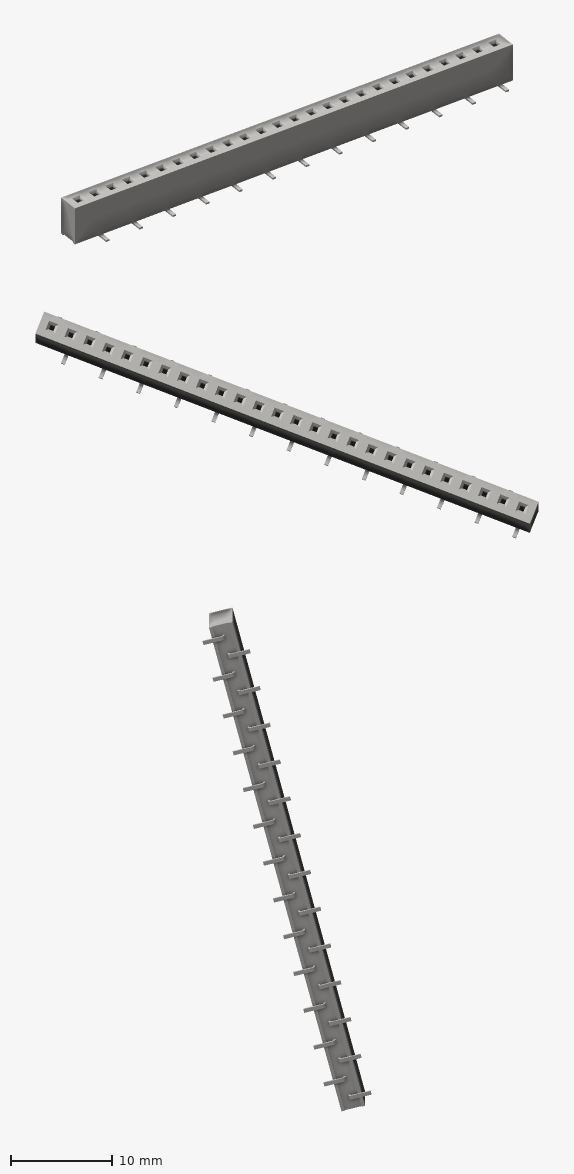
import cadquery as cq
import math

PIN_COUNT = 26
PITCH = 2.0
END_MARGIN = 0.3

BODY_WIDTH = 2.4
BODY_LENGTH = PIN_COUNT * PITCH + 2 * END_MARGIN
TOP_Z = 4.6
BODY_BOTTOM_Z = 0.35

CHANNEL_WIDTH = 1.7
CHANNEL_DEPTH = 0.15
CHANNEL_ROOF_Z = BODY_BOTTOM_Z + CHANNEL_DEPTH

FUNNEL_MOUTH = 1.0
SOCKET_SIDE = 0.5
FUNNEL_DEPTH = (FUNNEL_MOUTH - SOCKET_SIDE) / 2
SOCKET_DEPTH = 3.0

FOOT_REACH = 2.15
FOOT_WIDTH = 0.4
TAIL_THICKNESS = 0.2
BEND_RADIUS = 0.3
STEM_EMBED = 0.3


def make_body():
    """Rectangular housing with a channel along its underside."""
    body = cq.Workplane("XY").box(
        BODY_WIDTH, BODY_LENGTH, TOP_Z - BODY_BOTTOM_Z, centered=(True, True, False)
    ).translate((0, 0, BODY_BOTTOM_Z))
    channel = cq.Workplane("XY", origin=(0, 0, BODY_BOTTOM_Z)).box(
        CHANNEL_WIDTH, BODY_LENGTH, CHANNEL_DEPTH, centered=(True, True, False)
    )
    return body.cut(channel)


def make_sockets(positions):
    """Square blind holes with funnel mouths, one at each contact position."""
    top = cq.Workplane("XY", origin=(0, 0, TOP_Z)).pushPoints(positions)
    holes = top.rect(SOCKET_SIDE, SOCKET_SIDE).extrude(-SOCKET_DEPTH)
    funnel = (
        cq.Workplane("XY", origin=(0, 0, TOP_Z))
        .rect(FUNNEL_MOUTH, FUNNEL_MOUTH)
        .workplane(offset=-FUNNEL_DEPTH)
        .rect(SOCKET_SIDE, SOCKET_SIDE)
        .loft(combine=True)
        .val()
    )
    funnels = [funnel.translate(cq.Vector(x, y, 0)) for x, y in positions]
    return holes, funnels


def make_tail(side, y):
    """L-shaped tail: a stem out of the housing, bent into a foot toward side (+1 or -1)."""
    half = TAIL_THICKNESS / 2
    stem_top = CHANNEL_ROOF_Z + STEM_EMBED
    arc_offset = BEND_RADIUS * (1 - math.sqrt(0.5))
    return (
        cq.Workplane("XZ", origin=(0, y, 0))
        .moveTo(-side * half, BEND_RADIUS)
        .threePointArc(
            (side * (arc_offset - half), arc_offset),
            (side * (BEND_RADIUS - half), 0),
        )
        .lineTo(side * FOOT_REACH, 0)
        .lineTo(side * FOOT_REACH, TAIL_THICKNESS)
        .lineTo(side * half, TAIL_THICKNESS)
        .lineTo(side * half, stem_top)
        .lineTo(-side * half, stem_top)
        .close()
        .extrude(FOOT_WIDTH / 2, both=True)
        .val()
    )


first_y = -(PIN_COUNT - 1) * PITCH / 2
contact_positions = [(0, first_y + i * PITCH) for i in range(PIN_COUNT)]

tails = [
    make_tail(1 if i % 2 else -1, y)
    for i, (_, y) in enumerate(contact_positions)
]

socket_holes, socket_funnels = make_sockets(contact_positions)
housing = make_body().cut(socket_holes).val().cut(*socket_funnels)
result = cq.Workplane("XY").newObject([housing.fuse(*tails)])